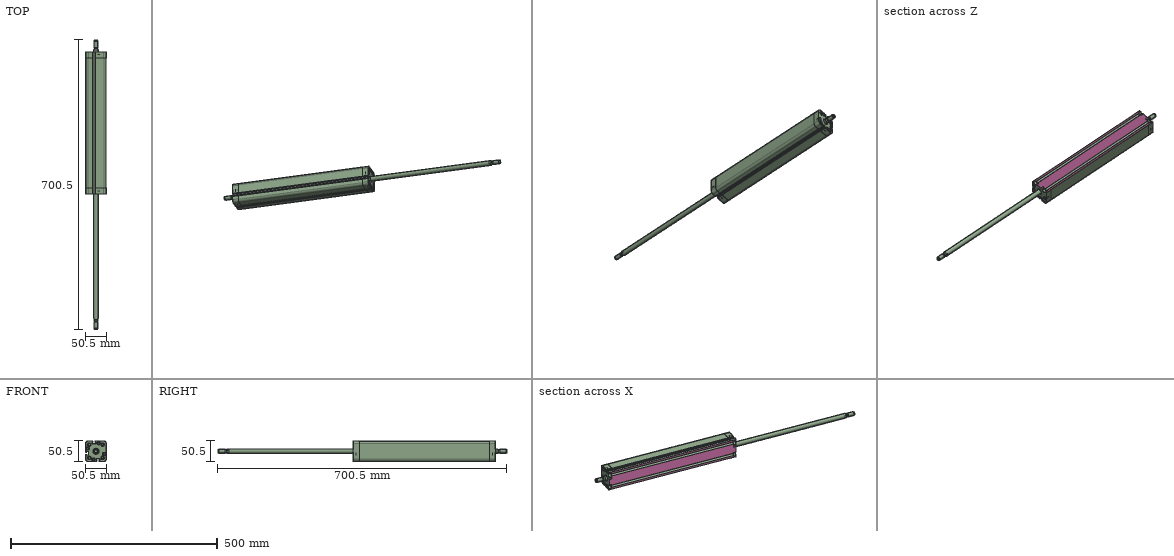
import cadquery as cq

TOTAL_LENGTH = 700.5
FRONT_END = -TOTAL_LENGTH / 2
REAR_END = TOTAL_LENGTH / 2
FRONT_FACE = -22.5
REAR_FACE = 322.0
CAP_LENGTH = 15.0

CAP_WIDTH = 50.5
TUBE_WIDTH = 50.0
CAP_CORNER_RADIUS = 7.0
TUBE_CORNER_RADIUS = 5.5

SLOT_OFFSET = 5.0
SLOT_NECK_WIDTH = 5.0
SLOT_NECK_DEPTH = 3.0
SLOT_LIP_CHAMFER = 1.05
SLOT_WIDTH = 8.0
SLOT_DEPTH = 7.0
SLOT_ANGLES = (0, 90, 180)

MOUNT_OFFSET = 16.0
MOUNT_HOLE_DIAMETER = 5.0
MOUNT_COUNTERBORE_DIAMETER = 8.5
MOUNT_COUNTERBORE_DEPTH = 7.0

PORT_OFFSET = 6.65
PORT_RADIAL_OFFSET = 19.5
PORT_DIAMETER = 8.0
PORT_DEPTH = 7.0
PORT_CORE_DIAMETER = 5.0
PORT_CORE_DEPTH = 10.5
PORT_ANGLES = (0, 90, 180, 270)

ROD_DIAMETER = 12.0
ROD_BORE_DIAMETER = 15.0
ROD_BORE_DEPTH = 3.5
STUD_DIAMETER = 10.0
STUD_TIP_DIAMETER = 8.0
STUD_CHAMFER_LENGTH = 3.0
STUD_LENGTH = 17.5
NECK_DIAMETER = 8.0
NECK_LENGTH = 3.0
SHOULDER_LENGTH = 3.5
FLATS_WIDTH = 10.0
FLATS_LENGTH = 7.0
FLATS_ANGLES = (0, 180)


def square_bar(width, start, length, corner_radius):
    """Square bar along +Y from the given start, with rounded long edges."""
    bar = cq.Workplane("XY").box(width, length, width, centered=(True, False, True))
    return bar.edges("|Y").fillet(corner_radius).translate((0, start, 0))


def cylinder(diameter, start, length, x=0, z=0):
    """Cylinder along Y; a negative length runs toward -Y."""
    return cq.Workplane("XZ", origin=(x, start, z)).circle(diameter / 2).extrude(-length)


def turned(body, angle):
    """Body rotated about the Y axis."""
    return body.rotate((0, 0, 0), (0, 1, 0), angle)


def housing():
    """Profile tube between two end caps."""
    tube_start = FRONT_FACE + CAP_LENGTH
    rear_cap_start = REAR_FACE - CAP_LENGTH
    front_cap = square_bar(CAP_WIDTH, FRONT_FACE, CAP_LENGTH, CAP_CORNER_RADIUS)
    tube = square_bar(TUBE_WIDTH, tube_start, rear_cap_start - tube_start, TUBE_CORNER_RADIUS)
    rear_cap = square_bar(CAP_WIDTH, rear_cap_start, CAP_LENGTH, CAP_CORNER_RADIUS)
    return front_cap.union(tube).union(rear_cap)


def sensor_slot():
    """T-slot cutter for the +Z side, running the whole housing length."""
    length = REAR_FACE - FRONT_FACE
    top = CAP_WIDTH / 2
    floor = top - SLOT_DEPTH
    ledge = top - SLOT_NECK_DEPTH
    lip = top - SLOT_LIP_CHAMFER
    half_neck = SLOT_NECK_WIDTH / 2
    half_mouth = half_neck + SLOT_LIP_CHAMFER
    half_slot = SLOT_WIDTH / 2
    right_side = [
        (half_slot, floor),
        (half_slot, ledge),
        (half_neck, ledge),
        (half_neck, lip),
        (half_mouth, top),
    ]
    left_side = [(-x, z) for x, z in reversed(right_side)]
    front_plane = cq.Workplane("XZ", origin=(-SLOT_OFFSET, FRONT_FACE, 0))
    return front_plane.polyline(right_side + left_side).close().extrude(-length)


def mount_hole(x, z):
    """Through hole with a counterbore at both end faces."""
    return (
        cylinder(MOUNT_HOLE_DIAMETER, FRONT_FACE, REAR_FACE - FRONT_FACE, x, z)
        .union(cylinder(MOUNT_COUNTERBORE_DIAMETER, FRONT_FACE, MOUNT_COUNTERBORE_DEPTH, x, z))
        .union(cylinder(MOUNT_COUNTERBORE_DIAMETER, REAR_FACE, -MOUNT_COUNTERBORE_DEPTH, x, z))
    )


def port(face, inward):
    """Stepped blind hole near the +Z side; inward is the sign of Y leading into the cap."""
    wide = cylinder(PORT_DIAMETER, face, inward * PORT_DEPTH, PORT_OFFSET, PORT_RADIAL_OFFSET)
    core = cylinder(PORT_CORE_DIAMETER, face, inward * PORT_CORE_DEPTH, PORT_OFFSET, PORT_RADIAL_OFFSET)
    return wide.union(core)


def piston_rod():
    """Rod with studs: half-profile (radius, Y) revolved about the Y axis."""
    distances_and_diameters = (
        (0, STUD_TIP_DIAMETER),
        (STUD_CHAMFER_LENGTH, STUD_DIAMETER),
        (STUD_LENGTH, STUD_DIAMETER),
        (STUD_LENGTH, NECK_DIAMETER),
        (STUD_LENGTH + NECK_LENGTH, NECK_DIAMETER),
        (STUD_LENGTH + NECK_LENGTH + SHOULDER_LENGTH, ROD_DIAMETER),
    )
    front = [(diameter / 2, FRONT_END + distance) for distance, diameter in distances_and_diameters]
    rear = [(diameter / 2, REAR_END - distance) for distance, diameter in reversed(distances_and_diameters)]
    outline = [(0, FRONT_END)] + front + rear + [(0, REAR_END)]
    return cq.Workplane("XY").polyline(outline).close().revolve(360, (0, 0, 0), (0, 1, 0))


def wrench_flat():
    """Cutter for the +X wrench flat of the rod, starting at the front shoulder."""
    cutter = cq.Workplane("XY").box(ROD_DIAMETER, FLATS_LENGTH, ROD_DIAMETER, centered=(False, False, True))
    return cutter.translate((FLATS_WIDTH / 2, FRONT_END + STUD_LENGTH + NECK_LENGTH, 0))


result = housing()

for angle in SLOT_ANGLES:
    result = result.cut(turned(sensor_slot(), -angle))

for x in (-MOUNT_OFFSET, MOUNT_OFFSET):
    for z in (-MOUNT_OFFSET, MOUNT_OFFSET):
        result = result.cut(mount_hole(x, z))

for face, inward in ((FRONT_FACE, 1), (REAR_FACE, -1)):
    for angle in PORT_ANGLES:
        result = result.cut(turned(port(face, inward), angle))
    result = result.cut(cylinder(ROD_BORE_DIAMETER, face, inward * ROD_BORE_DEPTH))

result = result.union(piston_rod())

for angle in FLATS_ANGLES:
    result = result.cut(turned(wrench_flat(), angle))